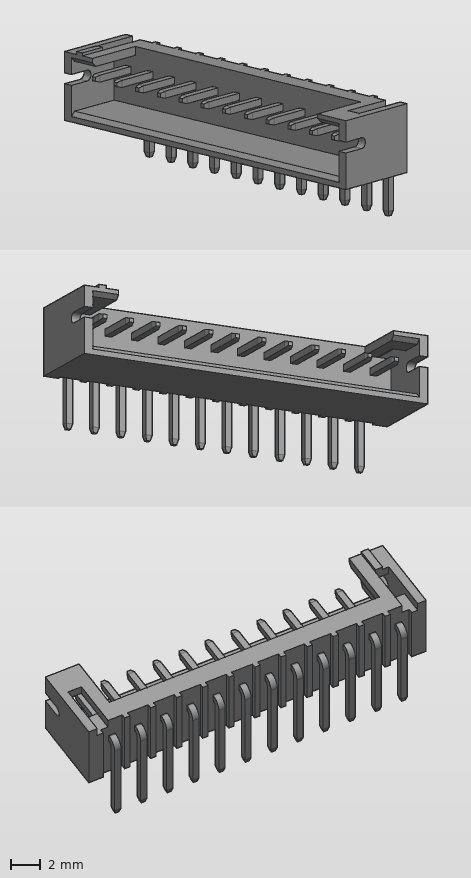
import cadquery as cq


length = 25.9
total_depth = 6.5
total_height = 8.4

housing_height = 4.8
side_wall = 0.65
top_wall = 0.62
bottom_wall = 0.7
lip_chamfer = 0.3
cavity_depth = 4.2

window_margin = 2.6
slot_width = 1.0
slot_front = 2.0

notch_height = 0.75
notch_depth = 1.92
notch_center_z = 2.93

recess_margin = 1.11
recess_depth = 0.34
rib_width = 0.41

key_height = 0.2

pin_count = 12
pin_row_span = 22.0
pin_size = 0.5
pin_center_z = 3.08
pin_front = 0.8
tip_length = 0.35
tip_size = 0.28
bend_radius = 0.75

pitch = pin_row_span / (pin_count - 1)
housing_depth = total_depth - pin_size
leg_bottom = housing_height + key_height - total_height
recess_wall_y = housing_depth - recess_depth
inner_bend_radius = bend_radius - pin_size
bend_y = total_depth - bend_radius
slot_inner = length / 2 - side_wall - slot_width


def block(x_range, y_range, z_range):
    """Box between the given limits along each axis."""
    size = [high - low for low, high in (x_range, y_range, z_range)]
    corner = (x_range[0], y_range[0], z_range[0])
    return cq.Workplane("XY").box(*size, centered=False).translate(corner)


def make_cavity():
    """Mating cavity, widened at the mouth by chamfers on the top and bottom walls."""
    floor = bottom_wall
    ceiling = housing_height - top_wall
    half_width = length / 2 - side_wall
    profile = [
        (0, floor - lip_chamfer),
        (lip_chamfer, floor),
        (cavity_depth, floor),
        (cavity_depth, ceiling),
        (lip_chamfer, ceiling),
        (0, ceiling + lip_chamfer),
    ]
    return cq.Workplane("YZ").polyline(profile).close().extrude(half_width, both=True)


def make_side_notches():
    """One round-ended notch shape that crosses both side walls."""
    radius = notch_height / 2
    straight = notch_depth - radius
    return (
        cq.Workplane("YZ")
        .moveTo(0, notch_center_z - radius)
        .lineTo(straight, notch_center_z - radius)
        .threePointArc((notch_depth, notch_center_z), (straight, notch_center_z + radius))
        .lineTo(0, notch_center_z + radius)
        .close()
        .extrude(length / 2, both=True)
    )


def make_housing():
    housing = block((-length / 2, length / 2), (0, housing_depth), (0, housing_height))
    housing = housing.cut(make_cavity()).cut(make_side_notches())

    top_wall_z = (housing_height - top_wall, housing_height)
    window_x = length / 2 - window_margin
    housing = housing.cut(block((-window_x, window_x), (0, cavity_depth), top_wall_z))

    slot = block((slot_inner, slot_inner + slot_width), (slot_front, housing_depth), top_wall_z)
    housing = housing.cut(slot).cut(slot.mirror("YZ"))

    recess_x = length / 2 - recess_margin
    recess_y = (recess_wall_y, housing_depth)
    housing = housing.cut(block((-recess_x, recess_x), recess_y, (0, housing_height)))
    for index in range(pin_count - 1):
        rib_x = -pin_row_span / 2 + (index + 0.5) * pitch
        rib = block((rib_x - rib_width / 2, rib_x + rib_width / 2), recess_y, (0, housing_height))
        housing = housing.union(rib)

    key = block(
        (recess_margin - length / 2, -slot_inner),
        (0, slot_front),
        (housing_height, housing_height + key_height),
    )
    return housing.union(key)


def make_tip():
    """Tapered square pin end that starts at the origin and points along -Z."""
    return (
        cq.Workplane("XY")
        .rect(pin_size, pin_size)
        .workplane(offset=-tip_length)
        .rect(tip_size, tip_size)
        .loft(ruled=True)
    )


def make_pin():
    """Square pin at X = 0 with a straight front arm and a round bend down into the leg."""
    half = pin_size / 2
    arm_z = (pin_center_z - half, pin_center_z + half)
    arm_front = pin_front + tip_length
    leg_end = leg_bottom + tip_length
    bend_z = arm_z[1] - bend_radius
    bent = (
        cq.Workplane("YZ")
        .moveTo(arm_front, arm_z[0])
        .lineTo(bend_y, arm_z[0])
        .radiusArc((housing_depth, bend_z), inner_bend_radius)
        .lineTo(housing_depth, leg_end)
        .lineTo(total_depth, leg_end)
        .lineTo(total_depth, bend_z)
        .radiusArc((bend_y, arm_z[1]), -bend_radius)
        .lineTo(arm_front, arm_z[1])
        .close()
        .extrude(half, both=True)
    )
    leg_tip = make_tip().translate((0, housing_depth + half, leg_end))
    arm_tip = make_tip().rotate((0, 0, 0), (1, 0, 0), -90).translate((0, arm_front, pin_center_z))
    return bent.union(leg_tip).union(arm_tip)


pin = make_pin()
result = make_housing()
for index in range(pin_count):
    pin_x = index * pitch - pin_row_span / 2
    result = result.union(pin.translate((pin_x, 0, 0)))